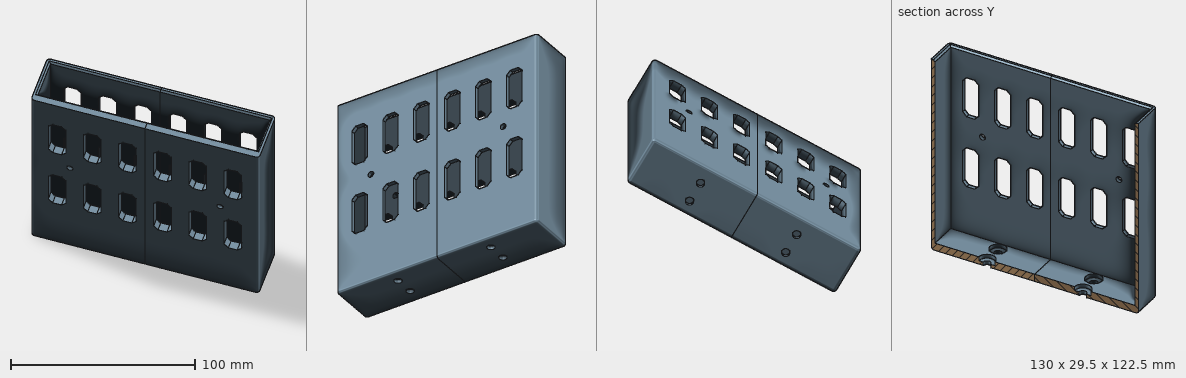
import cadquery as cq

WIDTH = 130.0
DEPTH = 29.5
HEIGHT = 122.5
EDGE_RADIUS = 2.0

SIDE_WALL = 2.5
FRONT_WALL = 5.0
REAR_WALL = 2.5
FLOOR = 5.0

MOUTH_BEVEL = 1.0

SLOT_WIDTH = 10.0
SLOT_HEIGHT = 25.0
SLOT_CORNER = 2.5
SLOT_PITCH_X = 20.0
SLOT_COLUMNS = 3
SLOT_PITCH_Z = 45.0

WALL_HOLE_DIAMETER = 3.5
WALL_HOLE_X = 42.8
WALL_HOLE_DROP = 52.5

FLOOR_HOLE_DIAMETER = 4.5
FLOOR_HOLE_X = 30.0
FLOOR_HOLE_PITCH_Y = 12.0
RECESS_DIAMETER = 10.0
RECESS_DEPTH = 2.5

half_width = WIDTH / 2
cavity_depth = DEPTH - FRONT_WALL - REAR_WALL
cavity_center_y = (FRONT_WALL - REAR_WALL) / 2
wall_hole_z = HEIGHT - WALL_HOLE_DROP


def outer_block():
    """Box with rounded upright and bottom edges."""
    block = cq.Workplane("XY").box(WIDTH, DEPTH, HEIGHT, centered=(True, True, False))
    return block.edges("|Z").fillet(EDGE_RADIUS).faces("<Z").edges().fillet(EDGE_RADIUS)


def cavity():
    """Open-topped pocket, widened by a bevel at its mouth."""
    width = WIDTH - 2 * SIDE_WALL
    pocket = (
        cq.Workplane("XY", origin=(0, cavity_center_y, FLOOR))
        .rect(width, cavity_depth)
        .extrude(HEIGHT - FLOOR)
    )
    bevel = (
        cq.Workplane("XY", origin=(0, cavity_center_y, HEIGHT - MOUTH_BEVEL))
        .rect(width, cavity_depth)
        .workplane(offset=MOUTH_BEVEL)
        .rect(width + 2 * MOUTH_BEVEL, cavity_depth + 2 * MOUTH_BEVEL)
        .loft(ruled=True)
    )
    return pocket.union(bevel)


def wall_slots(side):
    """Corner-cut slots of one half, in two rows above and below the screw hole."""
    centers = []
    for column in range(SLOT_COLUMNS):
        for row in (-1, 1):
            centers.append((side * (column + 0.5) * SLOT_PITCH_X, row * SLOT_PITCH_Z / 2))
    return (
        cq.Workplane("XZ", origin=(0, 0, wall_hole_z))
        .pushPoints(centers)
        .rect(SLOT_WIDTH, SLOT_HEIGHT)
        .extrude(DEPTH / 2, both=True)
        .edges("|Y")
        .chamfer(SLOT_CORNER)
    )


def wall_hole(side):
    """Screw hole through both the front and the rear wall."""
    return (
        cq.Workplane("XZ", origin=(side * WALL_HOLE_X, 0, wall_hole_z))
        .circle(WALL_HOLE_DIAMETER / 2)
        .extrude(DEPTH / 2, both=True)
    )


def floor_holes(side):
    """Pair of floor screw holes, each with a flat-bottomed head recess in the cavity floor."""
    centers = [(0, row * FLOOR_HOLE_PITCH_Y / 2) for row in (-1, 1)]
    plane = cq.Workplane("XY", origin=(side * FLOOR_HOLE_X, cavity_center_y, FLOOR)).pushPoints(centers)
    shafts = plane.circle(FLOOR_HOLE_DIAMETER / 2).extrude(-FLOOR)
    recesses = plane.circle(RECESS_DIAMETER / 2).extrude(-RECESS_DEPTH)
    return shafts.union(recesses)


def half_holder(side):
    """One half of the holder: side -1 is the left half, side 1 the right half."""
    half_space = cq.Workplane("XY", origin=(side * half_width / 2, 0, 0)).box(
        half_width, DEPTH, HEIGHT, centered=(True, True, False)
    )
    half = outer_block().intersect(half_space).cut(cavity())
    return half.cut(wall_slots(side)).cut(wall_hole(side)).cut(floor_holes(side))


halves = [half_holder(side) for side in (-1, 1)]
result = cq.Compound.makeCompound([half.val() for half in halves])